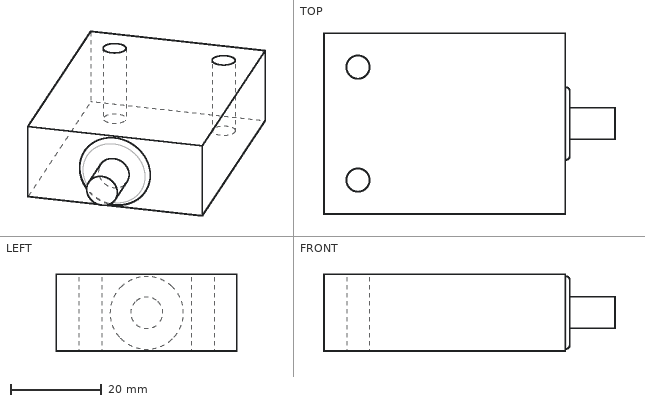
import cadquery as cq

overall_length = 64.4
body_width = 40.0
body_height = 17.0

collar_diameter = 16.15
collar_thickness = 1.0
collar_edge_radius = 0.95
cable_diameter = 7.0
cable_length = 10.0
body_length = overall_length - collar_thickness - cable_length

hole_diameter = 5.1
hole_end_distance = 7.55
hole_spacing = 25.0


def make_body():
    """Rectangular housing with its -X face at the origin, centred in Y and Z."""
    return cq.Workplane("XY").box(
        body_length, body_width, body_height, centered=(False, True, True)
    )


def make_cable_outlet():
    """Round-edged collar with a plain cable stub along +X."""
    collar = (
        cq.Workplane("YZ", origin=(body_length, 0, 0))
        .circle(collar_diameter / 2)
        .extrude(collar_thickness)
        .faces(">X")
        .edges()
        .fillet(collar_edge_radius)
    )
    cable = (
        cq.Workplane("YZ", origin=(body_length, 0, 0))
        .circle(cable_diameter / 2)
        .extrude(collar_thickness + cable_length)
    )
    return collar.union(cable)


def make_mounting_holes():
    """Pair of through holes near the -X end."""
    hole_centers = [(hole_end_distance, side * hole_spacing / 2) for side in (-1, 1)]
    return (
        cq.Workplane("XY", origin=(0, 0, -body_height / 2))
        .pushPoints(hole_centers)
        .circle(hole_diameter / 2)
        .extrude(body_height)
    )


result = make_body().union(make_cable_outlet()).cut(make_mounting_holes())